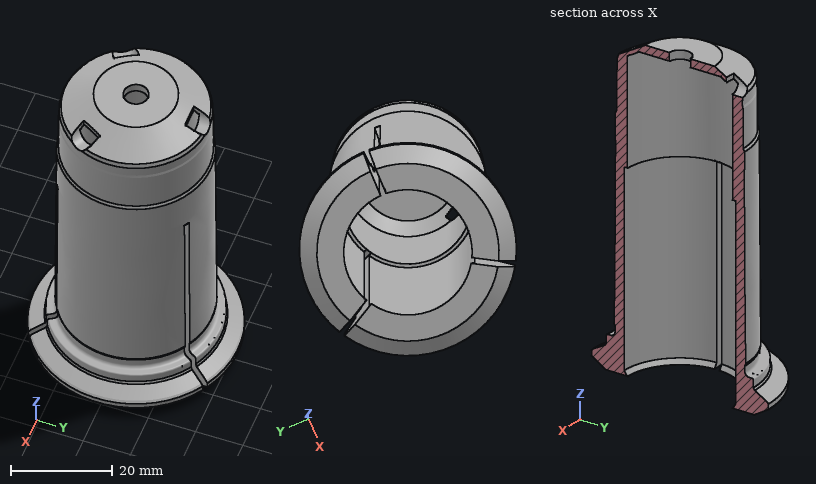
import cadquery as cq

height = 73.9
flange_radius = 21.5

flange_foot_radius = 18.0
flange_bevel_top = 2.15
flange_rim_top = 3.4
flange_edge_round = 0.45
collar_radius = 17.9
collar_bottom = 6.0
collar_foot_radius = 18.2
collar_foot = 5.5
collar_top = 8.0
collar_edge_round = 0.4

relief_radius = 15.8
relief_top = 10.2
relief_fillet = 0.9
body_radius = 16.0
body_bottom = 10.8
body_top_radius = 15.75
body_top = 57.1

neck_radius = 15.4
neck_bottom = 57.7
neck_top = 66.5
cap_radius = 15.2
cap_bottom = 67.0
cap_side_top = 69.3
cap_shoulder_radius = 14.85
cap_shoulder = 70.2
cap_top_radius = 8.4

center_hole_diameter = 5.0
upper_bore_radius = 25.4 / 2
lower_bore_radius = 26.9 / 2
mouth_radius = upper_bore_radius
mouth_depth = 1.2
bore_ceiling = 71.9
bore_ceiling_radius = 9.9
bore_side_top = 70.3

slit_width = 1.2
slit_outer_top = 48.2
slit_inner_top = 45.7
slit_angles = (60, 180, 300)

window_width = 5.0
window_inner_radius = 11.3
window_axis_height = 71.4
window_angles = (90, 210, 330)


def make_sleeve():
    """Revolve the outer outline about Z."""
    return (
        cq.Workplane("XZ")
        .lineTo(flange_foot_radius, 0)
        .lineTo(flange_radius, flange_bevel_top)
        .lineTo(flange_radius, flange_rim_top)
        .lineTo(flange_radius - flange_edge_round, flange_rim_top + flange_edge_round)
        .lineTo(collar_foot_radius, collar_foot)
        .lineTo(collar_radius, collar_bottom)
        .lineTo(collar_radius, collar_top - collar_edge_round)
        .radiusArc((collar_radius - collar_edge_round, collar_top), -collar_edge_round)
        .lineTo(relief_radius + relief_fillet, collar_top)
        .radiusArc((relief_radius, collar_top + relief_fillet), relief_fillet)
        .lineTo(relief_radius, relief_top)
        .lineTo(body_radius, body_bottom)
        .lineTo(body_top_radius, body_top)
        .lineTo(neck_radius, neck_bottom)
        .lineTo(neck_radius, neck_top)
        .lineTo(cap_radius, cap_bottom)
        .lineTo(cap_radius, cap_side_top)
        .lineTo(cap_shoulder_radius, cap_shoulder)
        .lineTo(cap_top_radius, height)
        .lineTo(0, height)
        .close()
        .revolve(360, (0, 0, 0), (0, 1, 0))
    )


def make_bore():
    """Revolve the bore, which steps wider at the slit ends and tapers in at its mouth."""
    return (
        cq.Workplane("XZ")
        .lineTo(mouth_radius, 0)
        .lineTo(lower_bore_radius, mouth_depth)
        .lineTo(lower_bore_radius, slit_inner_top)
        .lineTo(upper_bore_radius, slit_inner_top)
        .lineTo(upper_bore_radius, bore_side_top)
        .lineTo(bore_ceiling_radius, bore_ceiling)
        .lineTo(0, bore_ceiling)
        .close()
        .revolve(360, (0, 0, 0), (0, 1, 0))
    )


def make_slit(angle):
    """Cut one wall of the sleeve radially; the closed end slopes down toward the bore."""
    slit = (
        cq.Workplane("XZ", origin=(0, slit_width / 2, 0))
        .lineTo(flange_radius, 0)
        .lineTo(flange_radius, slit_outer_top)
        .lineTo(body_top_radius, slit_outer_top)
        .lineTo(upper_bore_radius, slit_inner_top)
        .lineTo(0, slit_inner_top)
        .close()
        .extrude(slit_width)
    )
    return slit.rotate((0, 0, 0), (0, 0, 1), angle)


def make_window(angle):
    """Cut a radial U-shaped opening from its round floor up through the cone."""
    length = flange_radius - window_inner_radius
    window = (
        cq.Workplane("YZ", origin=(window_inner_radius, 0, 0))
        .moveTo(-window_width / 2, height)
        .lineTo(-window_width / 2, window_axis_height)
        .threePointArc((0, window_axis_height - window_width / 2), (window_width / 2, window_axis_height))
        .lineTo(window_width / 2, height)
        .close()
        .extrude(length)
    )
    return window.rotate((0, 0, 0), (0, 0, 1), angle)


center_hole = cq.Workplane("XY").circle(center_hole_diameter / 2).extrude(height)

result = make_sleeve().cut(make_bore()).cut(center_hole)
for slit_angle in slit_angles:
    result = result.cut(make_slit(slit_angle))
for window_angle in window_angles:
    result = result.cut(make_window(window_angle))